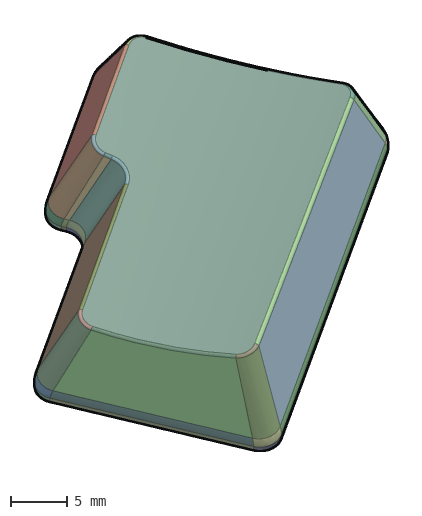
import cadquery as cq
import math

width = 27.45
length = 37.2
notch_width = 4.5
notch_length = 18.65

corner_radius = 2.0
corner_tightening = 0.05

skirt_height = 0.6
blend_top = 1.4
blend_sections = 5
side_lean = 27
front_lean = 33.5
back_lean = 4.7
blank_height = 8.93

dish_radius = 58.42
dish_tilt = 1
dish_floor_height = 6.9
rim_radius = 0.37


def round_corner(outline, corner, radius):
    """Round the vertex of a flat outline that lies at the given corner."""
    vertex = min(outline.Vertices(), key=lambda candidate: (candidate.Center() - corner).Length)
    return outline.fillet2D(radius, [vertex])


def wall_outline(height):
    """Closed outline of the walls at a height, with rounded corners."""
    if height < blend_top:
        rise = (height - skirt_height) ** 2 / (2 * (blend_top - skirt_height))
    else:
        rise = height - (skirt_height + blend_top) / 2
    side = rise * math.tan(math.radians(side_lean))
    front = rise * math.tan(math.radians(front_lean))
    back = rise * math.tan(math.radians(back_lean))

    inner_corner = cq.Vector(notch_width + side, notch_length + front, height)
    outer_corners = [
        cq.Vector(notch_width + side, front, height),
        cq.Vector(width - side, front, height),
        cq.Vector(width - side, length - back, height),
        cq.Vector(side, length - back, height),
        cq.Vector(side, notch_length + front, height),
    ]
    outline = cq.Wire.makePolygon([inner_corner] + outer_corners, close=True)
    outline = round_corner(outline, inner_corner, corner_radius)
    for corner in outer_corners:
        outline = round_corner(outline, corner, corner_radius - corner_tightening * rise)
    return outline


def make_walls():
    """Solid block bounded by the skirt, the blend and the leaning walls."""
    skirt = cq.Solid.extrudeLinear(wall_outline(skirt_height), [], cq.Vector(0, 0, -skirt_height))
    step = (blend_top - skirt_height) / (blend_sections - 1)
    blend_heights = [skirt_height + i * step for i in range(blend_sections)]
    blend = cq.Solid.makeLoft([wall_outline(height) for height in blend_heights])
    upper = cq.Solid.makeLoft([wall_outline(blend_top), wall_outline(blank_height)], True)
    return cq.Workplane(skirt).union(cq.Workplane(blend)).union(cq.Workplane(upper))


def make_dish():
    """Cylinder that hollows the top, lowest along the middle of the width."""
    return (
        cq.Workplane("XZ", origin=(0, -length / 2, dish_radius))
        .circle(dish_radius)
        .extrude(-2 * length)
        .rotate((0, 0, 0), (1, 0, 0), -dish_tilt)
        .translate((width / 2, 0, dish_floor_height))
    )


def round_rim(body):
    """Round the whole edge between the dished top and the walls."""
    return body.faces(">Z").edges().fillet(rim_radius)


result = round_rim(make_walls().cut(make_dish()))